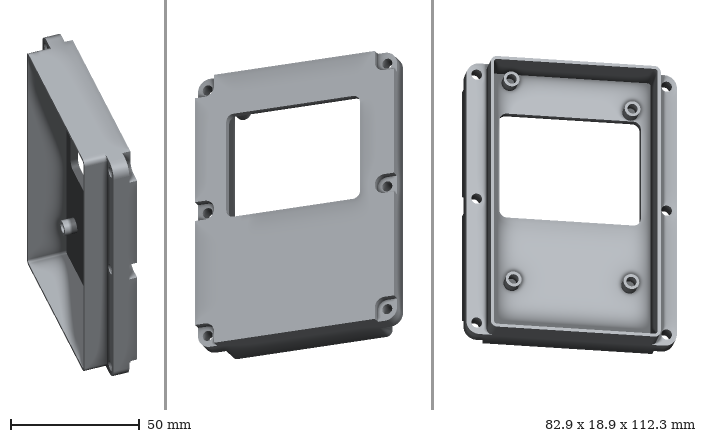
import cadquery as cq

WIDTH = 82.9
DEPTH = 18.9
HEIGHT = 112.3
BACK_Y = DEPTH / 2

FLANGE_DEPTH = 9.7
FLANGE_RADIUS = 5.0
BOX_WIDTH = 66.9
BOX_RADIUS = 2.5
WALL = 1.2
FLOOR = 3.0

SCREW_DIAMETER = 4.2
SCREW_EDGE_X = 4.0
SCREW_EDGE_Z = 4.7
SLOT_DEPTH = 3.3
SLOT_RADIUS = 3.9

WINDOW_LEFT = -27.3
WINDOW_RIGHT = 28.4
WINDOW_BOTTOM = -4.5
WINDOW_TOP = 38.6
WINDOW_RADIUS = 3.0

STANDOFF_DIAMETER = 6.2
STANDOFF_BORE = 3.9
STANDOFF_HEIGHT = 5.0
STANDOFF_CENTRES = [(-23.4, 51.2), (24.3, 42.0), (-22.6, -31.8), (23.8, -29.8)]


def front_facing_plane(y):
    """Plane at depth y with local X, Y along global X, Z; extrusion runs toward -Y."""
    return cq.Workplane("XZ", origin=(0, y, 0))


def rounded_block(width, height, depth, radius, back_y):
    """Block with its back at back_y and rounded edges along Y."""
    return front_facing_plane(back_y).rect(width, height).extrude(depth).edges("|Y").fillet(radius)


def shell():
    """Flanged base and box, hollowed from the front down to the floor."""
    base = rounded_block(WIDTH, HEIGHT, FLANGE_DEPTH, FLANGE_RADIUS, BACK_Y)
    box_back = BACK_Y - FLANGE_DEPTH
    box = rounded_block(BOX_WIDTH, HEIGHT, DEPTH - FLANGE_DEPTH, BOX_RADIUS, box_back)
    cavity = rounded_block(
        BOX_WIDTH - 2 * WALL, HEIGHT - 2 * WALL, DEPTH - FLOOR, BOX_RADIUS - WALL, BACK_Y - FLOOR
    )
    return base.union(box).cut(cavity)


def window():
    """Rounded rectangular cutter passing through the floor."""
    cutter = rounded_block(
        WINDOW_RIGHT - WINDOW_LEFT, WINDOW_TOP - WINDOW_BOTTOM, FLOOR, WINDOW_RADIUS, BACK_Y
    )
    return cutter.translate(((WINDOW_LEFT + WINDOW_RIGHT) / 2, 0, (WINDOW_BOTTOM + WINDOW_TOP) / 2))


def standoffs():
    """Hollow posts standing on the floor."""
    return (
        front_facing_plane(BACK_Y - FLOOR)
        .pushPoints(STANDOFF_CENTRES)
        .circle(STANDOFF_DIAMETER / 2)
        .circle(STANDOFF_BORE / 2)
        .extrude(STANDOFF_HEIGHT)
    )


def screw_slot(side, level):
    """Back clearance open to the flange side; end slots are also open to the top or bottom."""
    screw_x = side * (WIDTH / 2 - SCREW_EDGE_X)
    screw_z = level * (HEIGHT / 2 - SCREW_EDGE_Z)
    back = front_facing_plane(BACK_Y)
    slot = back.center(screw_x, screw_z).circle(SLOT_RADIUS).extrude(SLOT_DEPTH)
    outward = (
        back.center(screw_x + side * SCREW_EDGE_X / 2, screw_z)
        .rect(SCREW_EDGE_X, 2 * SLOT_RADIUS)
        .extrude(SLOT_DEPTH)
    )
    slot = slot.union(outward)
    if level != 0:
        inner_x = screw_x - side * SLOT_RADIUS
        endward = (
            back.moveTo(inner_x, screw_z)
            .lineTo(side * WIDTH / 2, screw_z)
            .lineTo(side * WIDTH / 2, level * HEIGHT / 2)
            .lineTo(inner_x, level * HEIGHT / 2)
            .close()
            .extrude(SLOT_DEPTH)
        )
        slot = slot.union(endward)
    return slot


def screw_hole(side, level):
    """Through hole in the flange."""
    screw_x = side * (WIDTH / 2 - SCREW_EDGE_X)
    screw_z = level * (HEIGHT / 2 - SCREW_EDGE_Z)
    return front_facing_plane(BACK_Y).center(screw_x, screw_z).circle(SCREW_DIAMETER / 2).extrude(FLANGE_DEPTH)


result = shell().cut(window()).union(standoffs())
for side in (-1, 1):
    for level in (-1, 0, 1):
        result = result.cut(screw_slot(side, level)).cut(screw_hole(side, level))